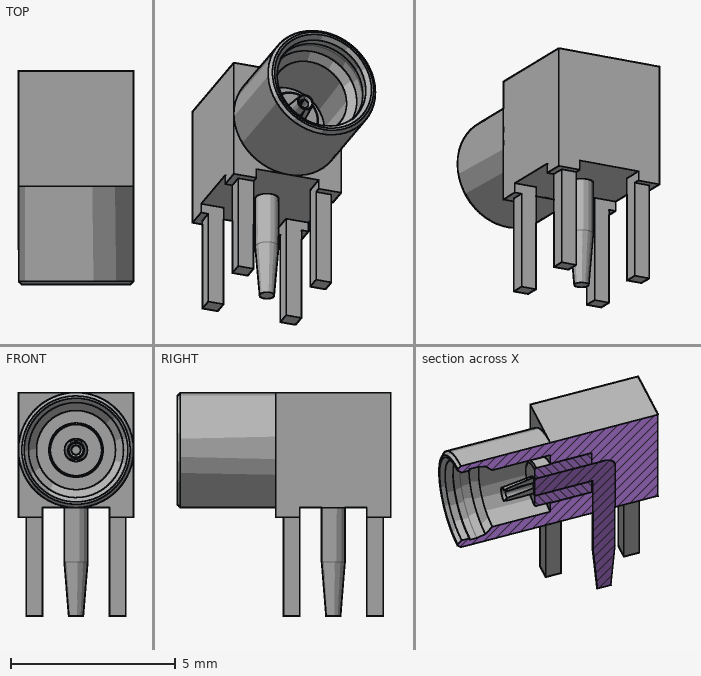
import cadquery as cq


block_size = 3.5
leg_length = 3.0
leg_width = 0.5
leg_inset = 0.23
foot_height = 0.3
foot_width = leg_inset + leg_width
barrel_length = 3.0
barrel_diameter = block_size
rim_chamfer = 0.1

block_bottom = leg_length + foot_height
axis_height = block_bottom + block_size / 2
block_front = -block_size / 2
mouth_y = block_front - barrel_length

mouth_diameter = 3.155
throat_diameter = 2.89
groove_diameter = 3.02
bore_diameter = 2.41
mouth_taper_end = 0.13
groove_start = 0.39
groove_end = 0.62
throat_end = 0.9
bore_taper_end = 1.12

insulator_diameter = 1.65
insulator_chamfer = 0.05
insulator_projection = 0.5
insulator_back = -0.41

pin_diameter = 0.7
tail_diameter = 0.72
socket_tip_diameter = 0.495
socket_mouth_diameter = 0.44
socket_bore_diameter = 0.28
socket_nose_length = 1.0
socket_lead_in = 0.1
socket_depth = socket_nose_length
slot_root_width = 0.18
tail_tip_diameter = 0.45
tail_taper_length = 1.66


def axial_cylinder(diameter, y_front, y_back):
    """Cylinder on the barrel axis between two Y stations."""
    return (
        cq.Workplane("XZ", origin=(0, y_back, axis_height))
        .circle(diameter / 2)
        .extrude(y_back - y_front)
    )


def revolve_about_barrel(profile):
    """Revolve (radius, Y) points about the barrel axis."""
    return (
        cq.Workplane("XY", origin=(0, 0, axis_height))
        .polyline(profile)
        .close()
        .revolve(360, (0, 0, 0), (0, 1, 0))
    )


def make_bore():
    steps = [
        (mouth_diameter, 0),
        (throat_diameter, mouth_taper_end),
        (throat_diameter, groove_start),
        (groove_diameter, groove_start),
        (groove_diameter, groove_end),
        (throat_diameter, throat_end),
        (bore_diameter, bore_taper_end),
        (bore_diameter, barrel_length),
    ]
    wall = [(diameter / 2, mouth_y + depth) for diameter, depth in steps]
    return revolve_about_barrel([(0, mouth_y), *wall, (0, block_front)])


def make_legs():
    """Four corner feet, each carrying a square leg flush with its inner faces."""
    foot_centre = (block_size - foot_width) / 2
    leg_centre = block_size / 2 - leg_inset - leg_width / 2
    feet = (
        cq.Workplane("XY", origin=(0, 0, leg_length))
        .rect(2 * foot_centre, 2 * foot_centre, forConstruction=True)
        .vertices()
        .rect(foot_width, foot_width)
        .extrude(foot_height)
    )
    legs = (
        cq.Workplane("XY")
        .rect(2 * leg_centre, 2 * leg_centre, forConstruction=True)
        .vertices()
        .rect(leg_width, leg_width)
        .extrude(leg_length)
    )
    return feet.union(legs)


def make_contact():
    """Horizontal pin with a slotted socket nose, joined to a vertical tail with a tapered tip."""
    nose_y = block_front - insulator_projection - socket_nose_length
    pin_radius = pin_diameter / 2
    tail_radius = tail_diameter / 2
    pin = revolve_about_barrel([
        (0, nose_y + socket_depth),
        (socket_bore_diameter / 2, nose_y + socket_depth),
        (socket_bore_diameter / 2, nose_y + socket_lead_in),
        (socket_mouth_diameter / 2, nose_y),
        (socket_tip_diameter / 2, nose_y),
        (pin_radius, nose_y + socket_nose_length),
        (pin_radius, 0),
        (0, 0),
    ])
    tail = (
        cq.Workplane("XZ")
        .polyline([
            (0, 0),
            (tail_tip_diameter / 2, 0),
            (tail_radius, tail_taper_length),
            (tail_radius, axis_height),
            (0, axis_height),
        ])
        .close()
        .revolve(360, (0, 0, 0), (0, 1, 0))
    )
    elbow = cq.Workplane("XY", origin=(0, 0, axis_height)).sphere(tail_radius)
    slot = (
        cq.Workplane("XY", origin=(0, 0, axis_height))
        .polyline([
            (0, nose_y + socket_lead_in),
            (slot_root_width / 2, nose_y + socket_nose_length),
            (-slot_root_width / 2, nose_y + socket_nose_length),
        ])
        .close()
        .extrude(pin_radius, both=True)
    )
    return pin.union(tail).union(elbow).cut(slot)


def make_insulator():
    """Chamfered sleeve around the horizontal pin, ending short of the tail."""
    sleeve = axial_cylinder(
        insulator_diameter, block_front - insulator_projection, insulator_back
    ).faces("<Y").chamfer(insulator_chamfer)
    pin_hole = axial_cylinder(pin_diameter, mouth_y, 0)
    return sleeve.cut(pin_hole)


def make_housing():
    block = cq.Workplane("XY", origin=(0, 0, axis_height)).box(block_size, block_size, block_size)
    barrel = axial_cylinder(barrel_diameter, mouth_y, block_front)
    barrel = barrel.faces("<Y").chamfer(rim_chamfer)
    housing = block.union(barrel).union(make_legs())
    insulator_seat = axial_cylinder(insulator_diameter, block_front, insulator_back)
    return housing.cut(make_bore()).cut(insulator_seat)


contact = make_contact()
insulator = make_insulator()
housing = make_housing().cut(contact)

result = cq.Compound.makeCompound([housing.val(), insulator.val(), contact.val()])